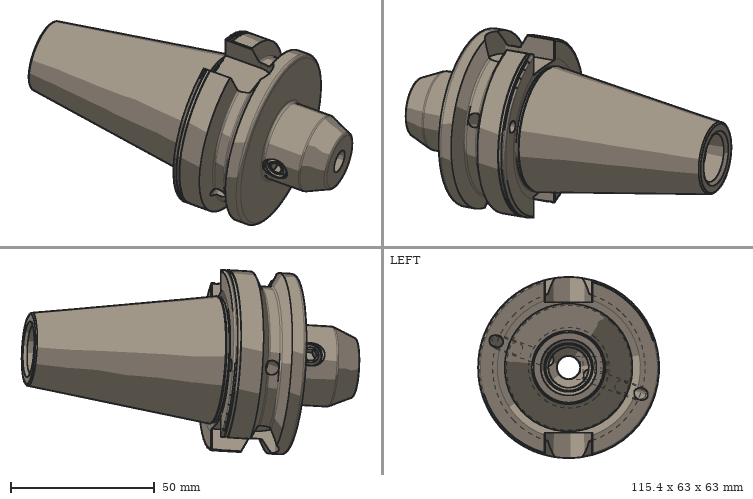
import cadquery as cq
import math


gauge_radius = 44.45 / 2
taper_length = 65.4
taper_slope = 7 / 24 / 2
shank_end_x = -taper_length
shank_end_radius = gauge_radius - taper_length * taper_slope
shank_end_chamfer = 0.5

relief_radius = 21.7
relief_root_round = 0.4

flange_radius = 31.5
flange_start_x = 1.0
flange_end_x = 27.0
start_rim_round = 0.7
end_rim_round = 1.2
dish_radius = 24.85
dish_angle = math.radians(15)

ring_groove_start_x = 2.4
ring_groove_end_x = 3.6
ring_groove_depth = 0.4

grip_groove_x = 16.6
grip_groove_width = 10.2
grip_groove_radius = 26.5
grip_groove_half_angle = math.radians(30)
grip_groove_fillet = 0.8

nose_radius = 14.0
nose_end_x = 50.0
nose_root_fillet = 1.0
nose_cone_start_x = 41.4
nose_shoulder_round = 1.5
nose_cone_end_radius = 10.3
nose_end_round = 1.0

slot_width = 16.1
slot_end_x = 23.2
slot_floor_z = 22.6
slot_edge_chamfer = 0.4

tool_bore_radius = 4.0
stud_mouth_radius = 9.7
stud_pilot_radius = 8.5
stud_pilot_depth = 8.0
stud_thread_radius = 7.0
stud_thread_mouth_radius = 8.0
stud_bore_end_x = 17.5
drill_point_half_angle = math.radians(59)

radial_hole_radius = 2.5
face_hole_radius = 2.1
face_hole_tilt = 30
coolant_angle = 20
coolant_hole_x = 15.8
coolant_hole_offset = 26.8

screw_x = 32.0
screw_radius = 4.0
screw_outer_y = -13.0
screw_hole_mouth_radius = 4.8
screw_face_radius = 2.8
screw_tip_radius = 3.0
hex_across_flats = 4.0
hex_depth = 4.0


def revolve_about_x(profile):
    return profile.close().revolve(360, (0, 0, 0), (1, 0, 0))


def rim_edges(body, x, radius):
    """Circular edges of the given radius around the axis at one X position."""
    reach = 0.001
    return [
        edge
        for edge in body.edges("%CIRCLE").vals()
        if abs(edge.Center().x - x) < reach and abs(edge.radius() - radius) < reach
    ]


def turned_body():
    dish_depth = (dish_radius - relief_radius) * math.tan(dish_angle)
    relief_depth = gauge_radius - relief_radius
    groove_wall_length = (flange_radius - grip_groove_radius) * math.tan(grip_groove_half_angle)
    groove_start_x = grip_groove_x - grip_groove_width / 2
    groove_end_x = grip_groove_x + grip_groove_width / 2

    body = revolve_about_x(
        cq.Workplane("XY")
        .moveTo(shank_end_x, 0)
        .lineTo(shank_end_x, shank_end_radius - shank_end_chamfer)
        .lineTo(shank_end_x + shank_end_chamfer, shank_end_radius + shank_end_chamfer * taper_slope)
        .lineTo(0, gauge_radius)
        .lineTo(relief_depth, relief_radius)
        .lineTo(flange_start_x + dish_depth, relief_radius)
        .lineTo(flange_start_x, dish_radius)
        .lineTo(flange_start_x, flange_radius)
        .lineTo(ring_groove_start_x, flange_radius)
        .lineTo(ring_groove_start_x, flange_radius - ring_groove_depth)
        .lineTo(ring_groove_end_x, flange_radius - ring_groove_depth)
        .lineTo(ring_groove_end_x, flange_radius)
        .lineTo(groove_start_x, flange_radius)
        .lineTo(groove_start_x + groove_wall_length, grip_groove_radius)
        .lineTo(groove_end_x - groove_wall_length, grip_groove_radius)
        .lineTo(groove_end_x, flange_radius)
        .lineTo(flange_end_x, flange_radius)
        .lineTo(flange_end_x, nose_radius)
        .lineTo(nose_cone_start_x, nose_radius)
        .lineTo(nose_end_x, nose_cone_end_radius)
        .lineTo(nose_end_x, 0)
    )

    rounded_corners = (
        (flange_start_x + dish_depth, relief_radius, relief_root_round),
        (flange_start_x, flange_radius, start_rim_round),
        (groove_start_x + groove_wall_length, grip_groove_radius, grip_groove_fillet),
        (groove_end_x - groove_wall_length, grip_groove_radius, grip_groove_fillet),
        (flange_end_x, flange_radius, end_rim_round),
        (flange_end_x, nose_radius, nose_root_fillet),
        (nose_cone_start_x, nose_radius, nose_shoulder_round),
        (nose_end_x, nose_cone_end_radius, nose_end_round),
    )
    for corner_x, corner_radius, rounding in rounded_corners:
        body = body.newObject(rim_edges(body, corner_x, corner_radius)).fillet(rounding)
    return body


def axial_bore():
    mouth_chamfer = stud_mouth_radius - stud_pilot_radius
    pilot_end_x = shank_end_x + stud_pilot_depth
    thread_chamfer = stud_thread_mouth_radius - stud_thread_radius
    point_length = (stud_thread_radius - tool_bore_radius) / math.tan(drill_point_half_angle)
    return revolve_about_x(
        cq.Workplane("XY")
        .moveTo(shank_end_x, 0)
        .lineTo(shank_end_x, stud_mouth_radius)
        .lineTo(shank_end_x + mouth_chamfer, stud_pilot_radius)
        .lineTo(pilot_end_x, stud_pilot_radius)
        .lineTo(pilot_end_x, stud_thread_mouth_radius)
        .lineTo(pilot_end_x + thread_chamfer, stud_thread_radius)
        .lineTo(stud_bore_end_x, stud_thread_radius)
        .lineTo(stud_bore_end_x + point_length, tool_bore_radius)
        .lineTo(nose_end_x, tool_bore_radius)
        .lineTo(nose_end_x, 0)
    )


def drive_slot(side):
    """Round-ended slot with bevelled edges; side is +1 for above, -1 for below."""
    half_width = slot_width / 2
    mouth_half_width = half_width + slot_edge_chamfer
    arc_start_x = slot_end_x - half_width
    bevel_end_x = flange_start_x + slot_edge_chamfer
    channel = (
        cq.Workplane("XY")
        .workplane(offset=slot_floor_z)
        .moveTo(0, -mouth_half_width)
        .lineTo(flange_start_x, -mouth_half_width)
        .lineTo(bevel_end_x, -half_width)
        .lineTo(arc_start_x, -half_width)
        .threePointArc((slot_end_x, 0), (arc_start_x, half_width))
        .lineTo(bevel_end_x, half_width)
        .lineTo(flange_start_x, mouth_half_width)
        .lineTo(0, mouth_half_width)
        .close()
        .extrude(flange_radius - slot_floor_z)
    )

    bevel_bottom_z = math.sqrt(flange_radius**2 - half_width**2) - slot_edge_chamfer
    bevel_height = flange_radius - bevel_bottom_z
    rim_bevel = (
        cq.Workplane("YZ")
        .moveTo(-half_width, bevel_bottom_z)
        .lineTo(half_width, bevel_bottom_z)
        .lineTo(half_width + bevel_height, flange_radius)
        .lineTo(-half_width - bevel_height, flange_radius)
        .close()
        .extrude(grip_groove_x)
    )
    slot = channel.union(rim_bevel)
    return slot if side > 0 else slot.mirror("XY")


def coolant_passage(side):
    """Radial hole from the gripper groove to the bore, fed from the flange face."""
    run = coolant_hole_x - flange_start_x
    tilt = math.radians(face_hole_tilt)
    meeting_offset = coolant_hole_offset - run * math.tan(tilt)
    radial_hole = (
        cq.Workplane("XZ", origin=(coolant_hole_x, 0, 0))
        .circle(radial_hole_radius)
        .extrude(flange_radius)
    )
    toward_face = cq.Plane(
        origin=(coolant_hole_x, -meeting_offset, 0),
        xDir=(0, 0, 1),
        normal=(-math.cos(tilt), -math.sin(tilt), 0),
    )
    beyond_face = face_hole_radius * math.tan(tilt)
    face_hole = (
        cq.Workplane(toward_face)
        .circle(face_hole_radius)
        .extrude(run / math.cos(tilt) + beyond_face)
    )
    turn = coolant_angle + (180 if side > 0 else 0)
    return radial_hole.union(face_hole).rotate((0, 0, 0), (1, 0, 0), turn)


def screw_hole():
    mouth_chamfer = screw_hole_mouth_radius - screw_radius
    return (
        cq.Workplane("XY")
        .moveTo(0, 0)
        .lineTo(0, -nose_radius)
        .lineTo(screw_hole_mouth_radius, -nose_radius)
        .lineTo(screw_radius, -nose_radius + mouth_chamfer)
        .lineTo(screw_radius, 0)
        .close()
        .revolve(360, (0, 0, 0), (0, 1, 0))
        .translate((screw_x, 0, 0))
    )


def make_holder():
    holder = turned_body().cut(axial_bore()).cut(screw_hole())
    for side in (1, -1):
        holder = holder.cut(drive_slot(side))
        holder = holder.cut(coolant_passage(side))
    return holder


def make_screw():
    face_chamfer = screw_radius - screw_face_radius
    tip_chamfer = screw_radius - screw_tip_radius
    tip_y = -tool_bore_radius
    hex_across_corners = hex_across_flats / math.cos(math.radians(30))
    blank = (
        cq.Workplane("XY")
        .moveTo(0, tip_y)
        .lineTo(screw_tip_radius, tip_y)
        .lineTo(screw_radius, tip_y - tip_chamfer)
        .lineTo(screw_radius, screw_outer_y + face_chamfer)
        .lineTo(screw_face_radius, screw_outer_y)
        .lineTo(0, screw_outer_y)
        .close()
        .revolve(360, (0, 0, 0), (0, 1, 0))
    )
    socket = (
        cq.Workplane("XZ", origin=(0, screw_outer_y + hex_depth, 0))
        .polygon(6, hex_across_corners)
        .extrude(hex_depth)
    )
    return blank.cut(socket).translate((screw_x, 0, 0))


holder = make_holder()
clamp_screw = make_screw()
result = cq.Compound.makeCompound([holder.val(), clamp_screw.val()])